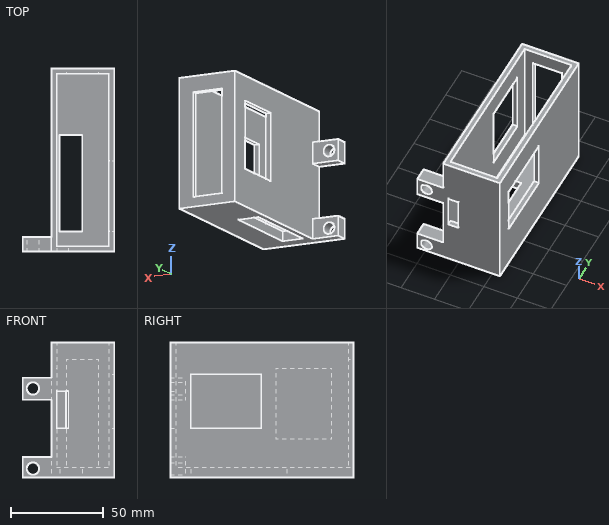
import cadquery as cq

total_width = 49.5
lug_length = 15.5
case_width = total_width - lug_length
case_depth = 99.0
case_height = 73.0
wall = 3.0
floor = 5.5

lug_thickness = 8.0
lug_hole_diameter = 6.5
lug_hole_inset = 10.0
lower_lug_height = 11.2
lower_hole_height = 4.9
upper_lug_bottom = 42.0
upper_lug_height = 12.0
upper_hole_height = 48.1

card_slot_width = 6.0
card_slot_height = 20.0
card_slot_bottom = 26.7

window_length = 30.0
window_height = 38.0
window_bottom = 21.0
window_back_margin = 12.0

side_opening_front = 11.0
side_opening_back = 49.0
side_opening_bottom = 26.7
side_opening_top = 55.7

back_opening_left = 7.9
back_opening_right = 25.2
back_opening_top = 64.0

floor_slot_left = 4.4
floor_slot_front = 11.0
floor_slot_width = 12.3
floor_slot_length = 52.0


def block(x_range, y_range, z_range):
    """Box spanning the given (low, high) range along each axis."""
    low, high = zip(x_range, y_range, z_range)
    sizes = [end - start for start, end in zip(low, high)]
    return cq.Workplane("XY").box(*sizes, centered=False).translate(low)


def lug(bottom, height, hole_height):
    """Rectangular lug with a hole along Y."""
    body = block((-lug_length, 0), (0, lug_thickness), (bottom, bottom + height))
    hole = (
        cq.Workplane("XZ", origin=(-lug_hole_inset, 0, hole_height))
        .circle(lug_hole_diameter / 2)
        .extrude(-lug_thickness)
    )
    return body.cut(hole)


left_wall = (0, wall)
right_wall = (case_width - wall, case_width)
front_wall = (0, wall)
back_wall = (case_depth - wall, case_depth)

shell = block((0, case_width), (0, case_depth), (0, case_height))
cavity = block(
    (wall, case_width - wall),
    (wall, case_depth - wall),
    (floor, case_height),
)
card_slot = block(
    (wall, wall + card_slot_width),
    front_wall,
    (card_slot_bottom, card_slot_bottom + card_slot_height),
)
window_back = case_depth - window_back_margin
window = block(
    left_wall,
    (window_back - window_length, window_back),
    (window_bottom, window_bottom + window_height),
)
side_opening = block(
    right_wall,
    (side_opening_front, side_opening_back),
    (side_opening_bottom, side_opening_top),
)
back_opening = block(
    (back_opening_left, back_opening_right),
    back_wall,
    (floor, back_opening_top),
)
floor_slot = block(
    (floor_slot_left, floor_slot_left + floor_slot_width),
    (floor_slot_front, floor_slot_front + floor_slot_length),
    (0, floor),
)

result = shell
for opening in (cavity, card_slot, window, side_opening, back_opening, floor_slot):
    result = result.cut(opening)
result = result.union(lug(0, lower_lug_height, lower_hole_height))
result = result.union(lug(upper_lug_bottom, upper_lug_height, upper_hole_height))